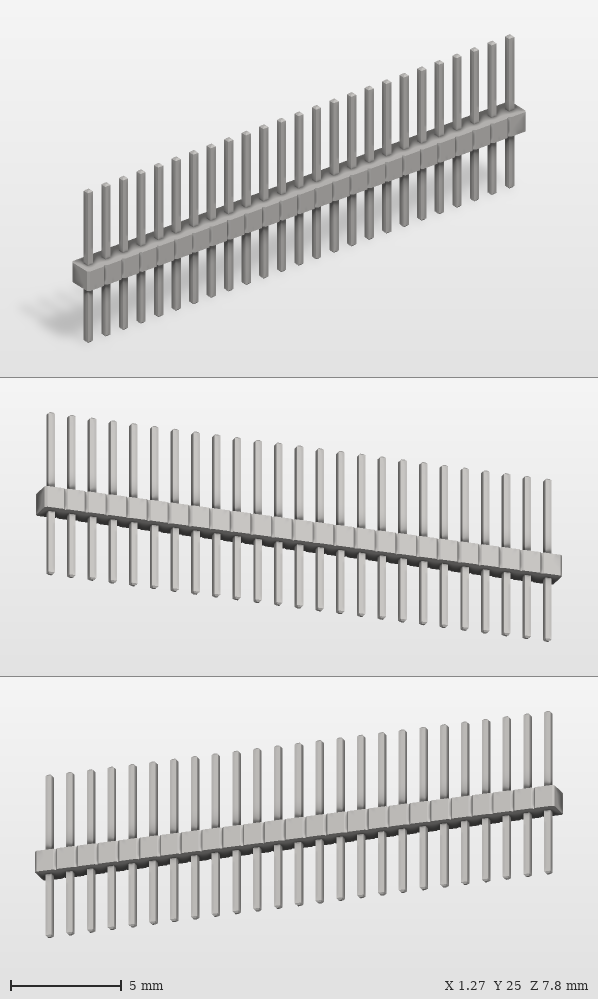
import cadquery as cq

pin_count = 25
pitch = 1.0

body_width = 1.27
body_height = 1.0
corner_chamfer = 0.1

pin_width = 0.3
pin_above_body = 3.8
pin_below_body = 3.0
tip_chamfer = 0.08

pin_length = pin_below_body + body_height + pin_above_body
first_pin_y = -(pin_count - 1) * pitch / 2


def make_block():
    """Body segment for one pin, resting on Z = 0, with chamfered upright edges."""
    block = cq.Workplane("XY").box(body_width, pitch, body_height, centered=(True, True, False))
    return block.edges("|Z").chamfer(corner_chamfer)


def make_pin():
    """Square pin through the body, tapered on all four sides at both ends."""
    pin = cq.Workplane("XY").box(pin_width, pin_width, pin_length, centered=(True, True, False))
    pin = pin.faces("<Z or >Z").chamfer(tip_chamfer)
    return pin.translate((0, 0, -pin_below_body))


segment = make_block().union(make_pin())
result = segment.translate((0, first_pin_y, 0))
for index in range(1, pin_count):
    result = result.union(segment.translate((0, first_pin_y + index * pitch, 0)))
result = result.clean()